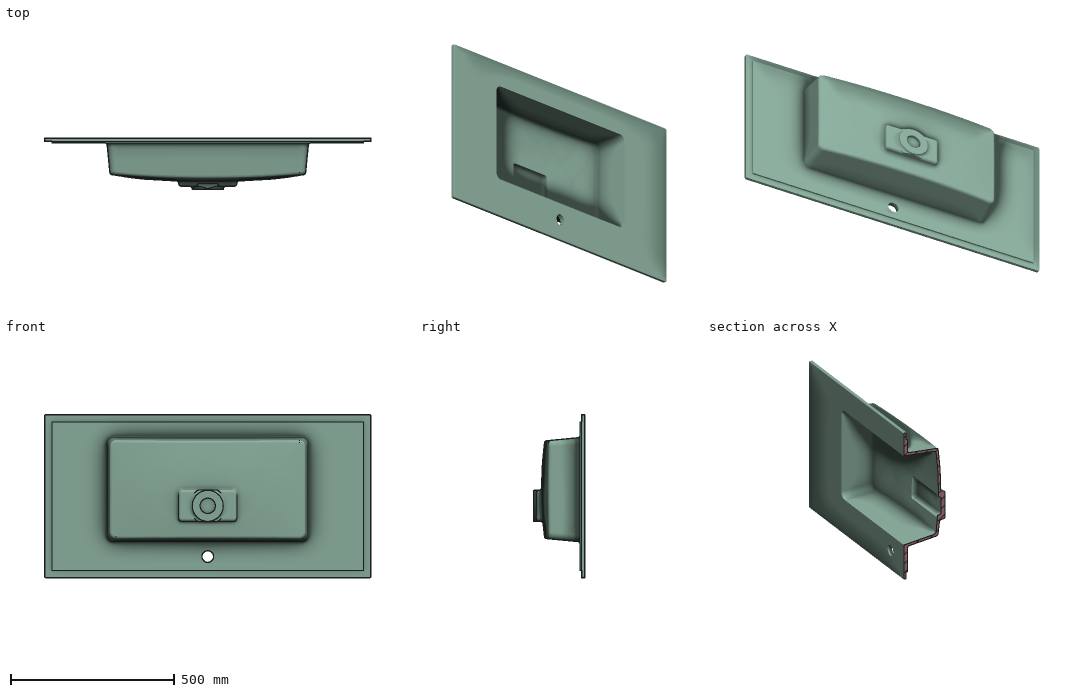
import cadquery as cq
import math


plate_width = 1000.0
plate_height = 500.0
plate_thickness = 10.0
plate_corner_radius = 5.0
plate_back_round = 2.0
step_margin = 22.5
step_thickness = 5.0
front_face = plate_thickness + step_thickness

tap_hole_diameter = 35.0
tap_hole_z = -185.0

bowl_width = 618.0
bowl_height = 320.0
bowl_center_z = 20.0
bowl_corner_radius = 20.0
bowl_draft = 5.5
bowl_root_fillet = 6.0
bowl_edge_fillet = 9.0

wall = 10.0

floor_depth_at_sides = 109.0
floor_depth_at_long_edges = 122.0
floor_depth_at_middle = 133.0

floor_grid = 8
floor_reach = 1.1
floor_tolerance = 0.01

pad_width = 178.0
pad_height = 96.0
pad_depth = 148.0
pad_corner_radius = 10.0
pad_edge_round = 8.5
pad_root_fillet = 8.0

root_clearance = 2.0

drain_z = -29.5
drain_ring_diameter = 95.0
drain_hole_diameter = 47.0
drain_depth = 157.0
drain_flare = drain_depth - pad_depth


def slab(width, height, center_z, start_depth, end_depth):
    """Plain block between two depths in front of the Y = 0 plane."""
    return (
        cq.Workplane("XZ", origin=(0, -start_depth, center_z))
        .rect(width, height)
        .extrude(end_depth - start_depth)
    )


def cylinder(diameter, center_z, start_depth, end_depth):
    """Round bar between two depths in front of the Y = 0 plane."""
    return (
        cq.Workplane("XZ", origin=(0, -start_depth, center_z))
        .circle(diameter / 2)
        .extrude(end_depth - start_depth)
    )


def floor_depth(across, along):
    """Depth of the floor; both arguments run from -1 to 1 between the walls."""
    long_edge_bulge = floor_depth_at_long_edges - floor_depth_at_sides
    middle_bulge = floor_depth_at_middle - floor_depth_at_long_edges
    middle_swell = middle_bulge * (1 - along**2) * (1 - across**4)
    return floor_depth_at_sides + long_edge_bulge * (1 - across**2) + middle_swell


def under_floor(inset):
    """Everything between the plate back and the floor surface moved in by the inset."""
    steps = [floor_reach * (2 * i / floor_grid - 1) for i in range(floor_grid + 1)]
    grid = [
        [
            cq.Vector(
                u * bowl_width / 2,
                inset - floor_depth(u, v),
                bowl_center_z + v * bowl_height / 2,
            )
            for v in steps
        ]
        for u in steps
    ]
    surface = cq.Face.makeSplineApprox(grid, tol=floor_tolerance, minDeg=2, maxDeg=6)
    block = cq.Solid.extrudeLinear(surface, cq.Vector(0, 2 * floor_depth_at_middle, 0))
    return cq.Workplane(obj=block)


def bowl_form(inset):
    """Drafted bowl block with a bulging, rounded floor; the inset makes it smaller all round."""
    spread = 2 * front_face * math.tan(math.radians(bowl_draft))
    walls = (
        cq.Workplane("XZ", origin=(0, 0, bowl_center_z))
        .rect(bowl_width + spread - 2 * inset, bowl_height + spread - 2 * inset)
        .extrude(floor_depth_at_middle + wall, taper=bowl_draft)
        .edges("not(<Y or >Y)")
        .fillet(bowl_corner_radius)
    )
    form = walls.intersect(under_floor(inset))
    return form.faces("<Y").edges().fillet(bowl_edge_fillet)


def pad_form(inset):
    """Rounded block of the drain recess."""
    block = slab(pad_width - 2 * inset, pad_height - 2 * inset, drain_z, front_face, pad_depth - inset)
    block = block.edges("|Y").fillet(pad_corner_radius)
    return block.faces("<Y").edges().fillet(pad_edge_round)


def plate_form():
    """Large plate with a smaller step on its front."""
    plate = slab(plate_width, plate_height, 0, 0, plate_thickness)
    plate = plate.edges("|Y").fillet(plate_corner_radius)
    plate = plate.faces(">Y").edges().fillet(plate_back_round)
    step = slab(
        plate_width - 2 * step_margin,
        plate_height - 2 * step_margin,
        0,
        plate_thickness,
        front_face,
    )
    return plate.union(step)


def drain_ring_form():
    """Outlet ring that flares into the pad, kept within the pad's outline."""
    radius = drain_ring_diameter / 2
    seat_depth = pad_depth - wall
    profile = (
        cq.Workplane("XY", origin=(0, 0, drain_z))
        .moveTo(0, -drain_depth)
        .lineTo(radius, -drain_depth)
        .radiusArc((radius + drain_flare, -pad_depth), drain_flare)
        .lineTo(radius + drain_flare, -seat_depth)
        .lineTo(0, -seat_depth)
        .close()
    )
    ring = profile.revolve(360, (0, 0, 0), (0, 1, 0))
    return ring.intersect(slab(pad_width, pad_height, drain_z, 0, drain_depth))


def root_zone(width, height, center_z, start_depth, end_depth):
    """Selector for the edges inside a box around the root of a raised form."""
    return cq.selectors.BoxSelector(
        (-width / 2, -start_depth, center_z - height / 2),
        (width / 2, -end_depth, center_z + height / 2),
        boundingbox=True,
    )


def make_basin():
    """Plate, hollow bowl, drain recess and outlet in one piece."""
    body = plate_form().union(bowl_form(0))
    bowl_root = root_zone(
        bowl_width + root_clearance,
        bowl_height + root_clearance,
        bowl_center_z,
        front_face - root_clearance / 2,
        front_face + root_clearance / 2,
    )
    body = body.edges(bowl_root).fillet(bowl_root_fillet)

    body = body.union(pad_form(0))
    pad_root = root_zone(
        pad_width + root_clearance,
        pad_height + root_clearance,
        drain_z,
        floor_depth_at_long_edges,
        floor_depth_at_middle + root_clearance,
    )
    body = body.edges(pad_root).fillet(pad_root_fillet)
    body = body.union(drain_ring_form())

    cavity = bowl_form(wall).union(pad_form(wall))
    body = body.cut(cavity)
    body = body.cut(cylinder(tap_hole_diameter, tap_hole_z, 0, front_face))
    return body.cut(cylinder(drain_hole_diameter, drain_z, pad_depth - wall, drain_depth))


def make_drain_plug():
    """Disc that closes the drain hole, flush with the recess floor inside the bowl."""
    return cylinder(drain_hole_diameter, drain_z, pad_depth - wall, pad_depth)


basin = make_basin()
drain_plug = make_drain_plug()

result = cq.Compound.makeCompound([basin.val(), drain_plug.val()])